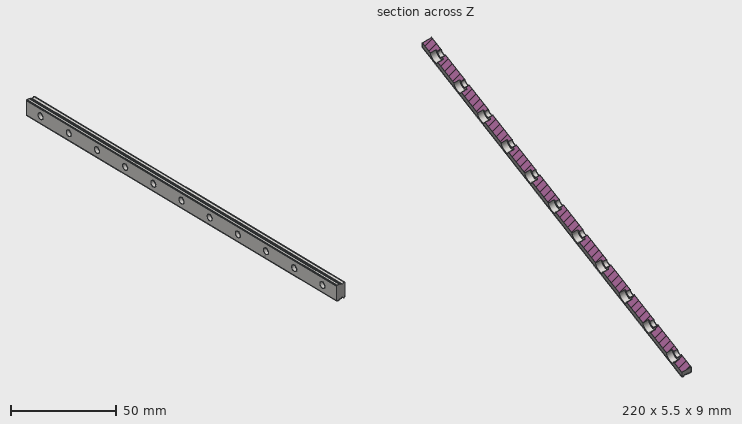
import cadquery as cq

length = 220.0
depth = 5.5
width = 9.0

back_y = depth / 2
front_y = -depth / 2
side_z = width / 2

hole_count = 11
hole_pitch = 20.0
hole_diameter = 3.5
counterbore_diameter = 6.0
counterbore_depth = 3.3

back_bevel_y = 0.75
back_bevel_z = 0.55
front_bevel = 0.35

track_start = 0.9
track_bottom = 1.7
track_end = 2.6
track_depth = 0.85
track_arc_bulge = 0.05

relief_depth = 0.3
relief_end = 3.2
runout_end = 3.85


def side_point(from_back, inward):
    """Section point (Y, Z) on the +Z side of the rail."""
    return (back_y - from_back, side_z - inward)


def rail_body():
    """Symmetric rail section extruded along X, built as an upper half and its mirror image."""
    upper_half = (
        cq.Workplane("YZ", origin=(-length / 2, 0, 0))
        .moveTo(back_y, 0)
        .lineTo(*side_point(0, back_bevel_z))
        .lineTo(*side_point(back_bevel_y, 0))
        .lineTo(*side_point(track_start, 0))
        .sagittaArc(side_point(track_bottom, track_depth), track_arc_bulge)
        .sagittaArc(side_point(track_end, relief_depth), track_arc_bulge)
        .lineTo(*side_point(relief_end, relief_depth))
        .lineTo(*side_point(runout_end, 0))
        .lineTo(*side_point(depth - front_bevel, 0))
        .lineTo(*side_point(depth, front_bevel))
        .lineTo(front_y, 0)
        .close()
        .extrude(length)
    )
    return upper_half.union(upper_half.mirror("XY")).clean()


def hole_row(diameter, hole_depth):
    """Row of cylinders running from the back face toward the front face."""
    return (
        cq.Workplane("XZ", origin=(0, back_y, 0))
        .rarray(hole_pitch, 1, hole_count, 1)
        .circle(diameter / 2)
        .extrude(hole_depth)
    )


through_holes = hole_row(hole_diameter, depth)
counterbores = hole_row(counterbore_diameter, counterbore_depth)
result = rail_body().cut(through_holes).cut(counterbores)